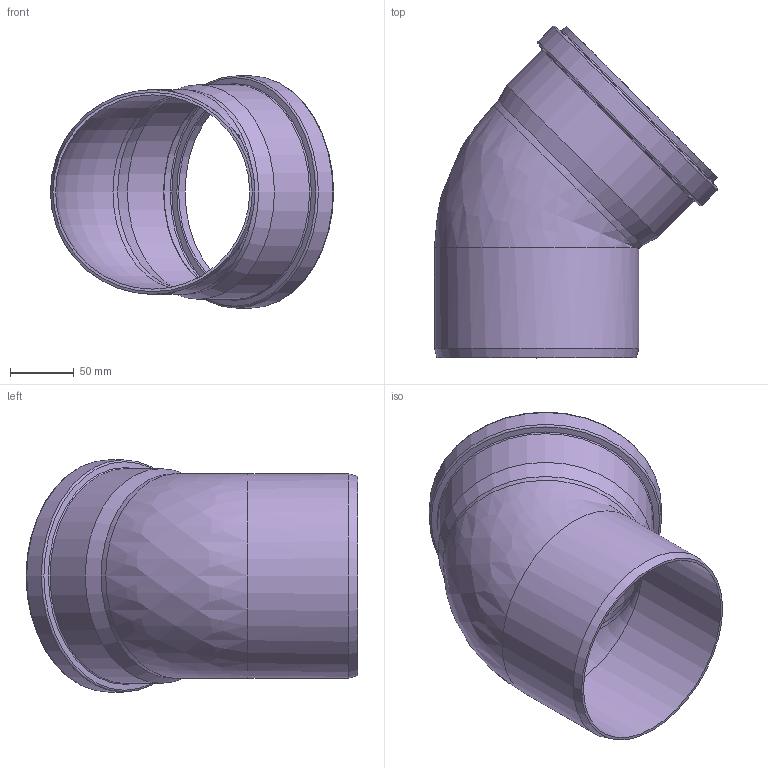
import cadquery as cq
import math

bend_angle = 45.0
bend_radius = 77.6
pipe_radius = 160.3 / 2
pipe_bore_radius = 152.3 / 2

spigot_length = 86.2
tip_length = 7.5
tip_inset = 2.0

socket_radius = 168.3 / 2
socket_bore_radius = 160.7 / 2
neck_length = 5.2
outer_cone_end = 18.7
inner_cone_end = 20.2

bead_radius = 182.0 / 2
bead_start = 59.2
bead_end = 78.2
bead_edge_radius = 1.5
bead_root_radius = 1.0
side_taper = 5.0
bend_side = -1
mouth_side = 1

groove_radius = 174.8 / 2
side_thickness = 2.9
groove_fillet = 1.0

lip_radius = 167.9 / 2
lip_bore_radius = 161.1 / 2
mouth = 84.4


def bend_to_outlet(body):
    """Move a body built along +Y from the origin onto the outlet axis at the end of the bend."""
    angle = math.radians(bend_angle)
    shift_x = bend_radius * (1 - math.cos(angle))
    shift_y = bend_radius * math.sin(angle)
    turned = body.rotate((0, 0, 0), (0, 0, 1), -bend_angle)
    return turned.translate((shift_x, shift_y, 0))


def revolve_about_y(outline):
    """Revolve a closed (radius, position) outline around the Y axis."""
    return outline.close().revolve(360, (0, 0, 0), (0, 1, 0))


def unit_vector(start, end):
    """Direction from one corner to the next."""
    step_r = end[0] - start[0]
    step_y = end[1] - start[1]
    length = math.hypot(step_r, step_y)
    return step_r / length, step_y / length


def add_fillet(outline, before, corner, after):
    """Extend the outline up to a corner and round it with an arc tangent to both of its sides."""
    radius, position, fillet = corner
    into = unit_vector(before, corner)
    away = unit_vector(corner, after)
    half_turn = math.acos(into[0] * away[0] + into[1] * away[1]) / 2
    setback = fillet * math.tan(half_turn)
    start = (radius - setback * into[0], position - setback * into[1])
    end = (radius + setback * away[0], position + setback * away[1])
    inward = unit_vector(into, away)
    depth = fillet / math.cos(half_turn) - fillet
    middle = (radius + depth * inward[0], position + depth * inward[1])
    return outline.lineTo(*start).threePointArc(middle, end)


def rounded_outline(corners):
    """Draw (radius, position, fillet) corners; a corner with zero fillet stays sharp."""
    outline = cq.Workplane("XY").moveTo(corners[0][0], corners[0][1])
    for before, corner, after in zip(corners, corners[1:], corners[2:]):
        radius, position, fillet = corner
        if fillet > 0:
            outline = add_fillet(outline, before, corner, after)
        else:
            outline = outline.lineTo(radius, position)
    return outline.lineTo(corners[-1][0], corners[-1][1])


def bead_corner(radius, side, fillet):
    """Corner on a tapered side of the bead."""
    lean = (bead_radius - radius) * math.tan(math.radians(side_taper))
    outer_position = bead_end if side == mouth_side else bead_start
    return radius, outer_position + side * lean, fillet


def groove_corner(radius, side):
    """Corner on a tapered side of the seal groove."""
    _, position, _ = bead_corner(radius, side, groove_fillet)
    return radius, position - side * side_thickness, groove_fillet


def make_spigot():
    """Outside of the spigot, from the start of the bend down to its tapered tip."""
    outline = (
        cq.Workplane("XY")
        .lineTo(pipe_radius, 0)
        .lineTo(pipe_radius, tip_length - spigot_length)
        .lineTo(pipe_radius - tip_inset, -spigot_length)
        .lineTo(0, -spigot_length)
    )
    return revolve_about_y(outline)


def make_bend():
    """Outside of the bend; the bend axis lies inside the pipe wall, so the section stops at that axis."""
    half_chord = math.sqrt(pipe_radius**2 - bend_radius**2)
    section = (
        cq.Workplane("XY")
        .transformed(rotate=(90, 0, 0))
        .moveTo(bend_radius, half_chord)
        .threePointArc((-pipe_radius, 0), (bend_radius, -half_chord))
        .close()
    )
    return turn_through_bend(section)


def turn_through_bend(section):
    """Sweep a section at the start of the bend around the bend axis."""
    return section.revolve(bend_angle, (bend_radius, 1, 0), (bend_radius, 0, 0))


def make_socket():
    """Outside of the socket with its neck, cone, bead and lip."""
    return bend_to_outlet(revolve_about_y(rounded_outline([
        (0, 0, 0),
        (pipe_radius, 0, 0),
        (pipe_radius, neck_length, 0),
        (socket_radius, outer_cone_end, 0),
        bead_corner(socket_radius, bend_side, bead_root_radius),
        bead_corner(bead_radius, bend_side, bead_edge_radius),
        bead_corner(bead_radius, mouth_side, bead_edge_radius),
        bead_corner(lip_radius, mouth_side, bead_root_radius),
        (lip_radius, mouth, 0),
        (0, mouth, 0),
    ])))


def make_pipe_bore():
    """Round passage through the spigot and the bend."""
    straight = cq.Workplane("XZ").circle(pipe_bore_radius).extrude(spigot_length)
    curved = turn_through_bend(cq.Workplane("XZ").circle(pipe_bore_radius))
    return straight.union(curved)


def make_socket_bore():
    """Passage through the socket with its seal groove."""
    return bend_to_outlet(revolve_about_y(rounded_outline([
        (0, 0, 0),
        (pipe_bore_radius, 0, 0),
        (pipe_bore_radius, neck_length, 0),
        (socket_bore_radius, inner_cone_end, 0),
        groove_corner(socket_bore_radius, bend_side),
        groove_corner(groove_radius, bend_side),
        groove_corner(groove_radius, mouth_side),
        groove_corner(lip_bore_radius, mouth_side),
        (lip_bore_radius, mouth, 0),
        (0, mouth, 0),
    ])))


outside = make_spigot().union(make_bend()).union(make_socket())
result = outside.cut(make_pipe_bore()).cut(make_socket_bore())